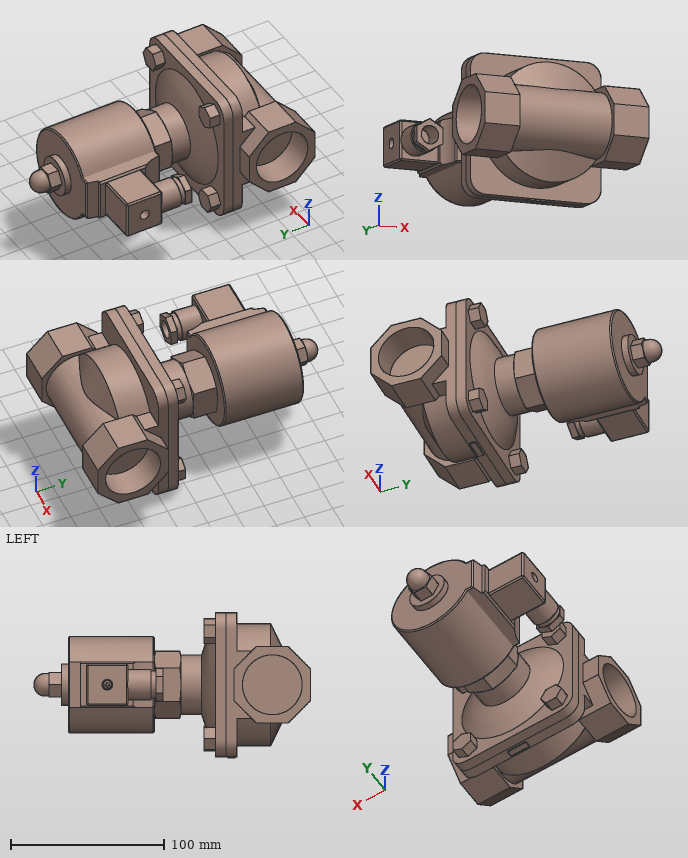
import cadquery as cq
import math


end_flats = 50.0
end_length = 25.3
body_length = 118.0
pipe_diameter = 44.0
bore_diameter = 39.0
bore_depth = 20.0
bowl_diameter = 79.8
bowl_bottom_y = 1.0
bowl_cone_height = 19.5
flange_bottom_y = 23.1
flange_side = 94.0
flange_thickness = 7.0
flange_corner_radius = 10.5
shoulder_height = 9.7
mark_length = 14.5
mark_width = 4.3
mark_height = 0.9
mark_center_x = 2.5

neck_diameter = 39.0
neck_bottom_y = 46.0
neck_top_y = 59.5
dome_radius = 75.2
bolt_offset = 35.0
bolt_flats = 14.0
bolt_height = 7.4

tube_nut_flats = 38.0
coil_bottom_y = 76.9
hex_chamfer_angle = 15

coil_diameter = 63.0
coil_height = 56.1
coil_chamfer = 0.9
box_width = 30.0
box_face_x = -37.4
box_end_x = -32.7
box_step_x = -34.6
box_step_height = 8.0
box_curve_height = 13.9
box_edge_chamfer = 1.3
seam_fillet = 0.7

plug_side = 27
plug_face_x = -64.5
plug_bottom_y = 94.0
plug_chamfer = 1.0
screw_hole_diameter = 6.9
screw_hole_depth = 9
screw_head_diameter = 5.5
screw_head_height = 1.8
screw_slot_length = 3.0
screw_slot_width = 1.0
screw_slot_depth = 0.9
gland_x = -53.8
gland_diameter = 20.0
gland_length = 14.8
collar_diameter = 18
collar_length = 3.5
gland_nut_flats = 18.5
gland_nut_length = 4.7
cable_hole_diameter = 12.3
cable_hole_depth = 14.5

washer_diameter = 27
washer_thickness = 4.5
acorn_flats = 16.0
acorn_hex_height = 8.1
acorn_dome_diameter = 15.0
acorn_neck_height = 2.3

flange_top_y = flange_bottom_y + flange_thickness
bonnet_plate_top_y = flange_top_y + flange_thickness
coil_top_y = coil_bottom_y + coil_height
plug_center_y = plug_bottom_y + plug_side / 2
gland_end_y = plug_bottom_y - gland_length
collar_end_y = gland_end_y - collar_length
gland_nut_end_y = collar_end_y - gland_nut_length
acorn_hex_y = coil_top_y + washer_thickness
acorn_neck_y = acorn_hex_y + acorn_hex_height
acorn_dome_y = acorn_neck_y + acorn_neck_height


def plane_at(y, x=0, z=0):
    """Work plane facing +Y whose local axes are Z and X."""
    return cq.Workplane(cq.Plane(origin=(x, y, z), xDir=(0, 0, 1), normal=(0, 1, 0)))


def disc(diameter, y_low, y_high, x=0):
    """Cylinder along Y."""
    return plane_at(y_low, x).circle(diameter / 2).extrude(y_high - y_low)


def corner_diameter(sides, flats):
    """Diameter across the corners of a regular polygon that is `flats` wide across its flats."""
    return flats / math.cos(math.pi / sides)


def hexagon(flats, y_low, y_high, x=0, z=0):
    """Hexagonal prism along Y with corners toward +Z and -Z."""
    return plane_at(y_low, x, z).polygon(6, corner_diameter(6, flats)).extrude(y_high - y_low)


def corner_cutter(flats, y_low, y_high, chamfer_bottom):
    """Round bar with chamfered ends that trims the corners of a hexagonal prism."""
    corner_radius = corner_diameter(6, flats) / 2
    inset = corner_radius - flats / 2
    drop = inset * math.tan(math.radians(hex_chamfer_angle))
    bar = disc(2 * corner_radius, y_low, y_high)
    bar = bar.faces(">Y").chamfer(drop, inset)
    if chamfer_bottom:
        bar = bar.faces("<Y").chamfer(drop, inset)
    return bar


def square_plate(y_low):
    plate = plane_at(y_low).rect(flange_side, flange_side).extrude(flange_thickness)
    return plate.edges("|Y").fillet(flange_corner_radius)


def make_valve_body():
    end_face = cq.Workplane("YZ", origin=(-body_length / 2, 0, 0))
    octagon = end_face.polygon(8, corner_diameter(8, end_flats)).extrude(end_length)
    end = octagon.rotate((0, 0, 0), (1, 0, 0), 180 / 8)
    pipe = cq.Workplane("YZ").circle(pipe_diameter / 2).extrude(body_length / 2 - end_length / 2, both=True)

    bowl_profile = (
        cq.Workplane("XY")
        .moveTo(0, flange_bottom_y)
        .lineTo(bowl_diameter / 2, flange_bottom_y)
        .lineTo(bowl_diameter / 2, bowl_bottom_y)
        .lineTo(0, bowl_bottom_y - bowl_cone_height)
        .close()
    )
    bowl = bowl_profile.revolve(360, (0, 0, 0), (0, 1, 0))

    shoulder = plane_at(flange_bottom_y).rect(pipe_diameter, flange_side).extrude(-shoulder_height)
    flange = square_plate(flange_bottom_y)

    mark = cq.Workplane("XY").box(mark_length, mark_width, mark_height, centered=(True, True, False))
    mark_y = flange_bottom_y + flange_thickness / 2
    mark = mark.translate((mark_center_x, mark_y, -flange_side / 2 - mark_height))

    body = pipe.union(bowl).union(shoulder).union(flange).union(mark)
    body = body.union(end).union(end.mirror("YZ"))

    bore = cq.Workplane("YZ", origin=(-body_length / 2, 0, 0)).circle(bore_diameter / 2).extrude(bore_depth)
    return body.cut(bore).cut(bore.mirror("YZ"))


def make_bonnet():
    dome_profile = (
        cq.Workplane("XY")
        .moveTo(0, bonnet_plate_top_y)
        .lineTo(bowl_diameter / 2, bonnet_plate_top_y)
        .radiusArc((neck_diameter / 2, neck_bottom_y), -dome_radius)
        .lineTo(neck_diameter / 2, neck_top_y)
        .lineTo(0, neck_top_y)
        .close()
    )
    dome_and_neck = dome_profile.revolve(360, (0, 0, 0), (0, 1, 0))
    return square_plate(flange_top_y).union(dome_and_neck)


def make_bolt_head(quarter_turns):
    """Bolt head in one corner, each a quarter turn about Y from the one before."""
    head = hexagon(
        bolt_flats, bonnet_plate_top_y, bonnet_plate_top_y + bolt_height, -bolt_offset, bolt_offset
    )
    return head.rotate((0, 0, 0), (0, 1, 0), 90 * quarter_turns)


def make_tube_nut():
    nut = hexagon(tube_nut_flats, neck_top_y, coil_bottom_y)
    return nut.intersect(corner_cutter(tube_nut_flats, neck_top_y, coil_bottom_y, True))


def make_coil_housing():
    plate_low_y = coil_bottom_y + box_curve_height
    plate_high_y = coil_top_y - box_step_height
    rise = box_end_x - box_face_x
    curve_radius = (rise**2 + box_curve_height**2) / (2 * rise)
    box = (
        cq.Workplane("XY", origin=(0, 0, -box_width / 2))
        .moveTo(0, coil_bottom_y)
        .lineTo(box_end_x, coil_bottom_y)
        .radiusArc((box_face_x, plate_low_y), -curve_radius)
        .lineTo(box_face_x, plate_high_y)
        .lineTo(box_step_x, plate_high_y)
        .lineTo(box_end_x, coil_top_y)
        .lineTo(0, coil_top_y)
        .close()
        .extrude(box_width)
    )
    box = box.faces("<X").edges("|Y").chamfer(box_edge_chamfer)
    housing = disc(coil_diameter, coil_bottom_y, coil_top_y).union(box)
    seam_x = -math.sqrt((coil_diameter / 2) ** 2 - (box_width / 2) ** 2)
    for side in (-1, 1):
        seam_middle = (seam_x, coil_bottom_y + coil_height / 2, side * box_width / 2)
        seam = cq.selectors.NearestToPointSelector(seam_middle)
        housing = housing.edges("|Y").edges(seam).fillet(seam_fillet)
    return housing.faces("<Y or >Y").edges().chamfer(coil_chamfer)


def make_plug():
    plug = (
        cq.Workplane("YZ", origin=(plug_face_x, plug_center_y, 0))
        .rect(plug_side, plug_side)
        .extrude(box_face_x - plug_face_x)
    )
    return plug.edges("|X or <X").chamfer(plug_chamfer)


def make_screw_hole():
    face = cq.Workplane("YZ", origin=(plug_face_x, plug_center_y, 0))
    return face.circle(screw_hole_diameter / 2).extrude(screw_hole_depth)


def make_screw_head():
    """Domed cross-slotted head that stands on the floor of the screw hole."""
    floor_x = plug_face_x + screw_hole_depth
    radius = screw_head_diameter / 2
    head_profile = (
        cq.Workplane("XY", origin=(floor_x, plug_center_y, 0))
        .lineTo(-screw_head_height, 0)
        .radiusArc((0, radius), (radius**2 + screw_head_height**2) / (2 * screw_head_height))
        .close()
    )
    head = head_profile.revolve(360, (0, 0, 0), (1, 0, 0))
    slots = cq.Workplane("YZ", origin=(floor_x - screw_head_height, plug_center_y, 0))
    slot = slots.rect(screw_slot_length, screw_slot_width).extrude(screw_slot_depth)
    crossing_slot = slots.rect(screw_slot_width, screw_slot_length).extrude(screw_slot_depth)
    return head.cut(slot).cut(crossing_slot)


def make_gland():
    gland = disc(gland_diameter, gland_end_y, plug_bottom_y + plug_chamfer, gland_x)
    gland = gland.union(disc(collar_diameter, collar_end_y, gland_end_y, gland_x))
    return gland.union(hexagon(gland_nut_flats, gland_nut_end_y, collar_end_y, gland_x))


def make_acorn_nut():
    washer = disc(washer_diameter, coil_top_y, acorn_hex_y)
    hexagon_part = hexagon(acorn_flats, acorn_hex_y, acorn_neck_y)
    hexagon_part = hexagon_part.intersect(corner_cutter(acorn_flats, acorn_hex_y, acorn_neck_y, False))
    hexagon_part = hexagon_part.rotate((0, 0, 0), (0, 1, 0), 90)
    neck = disc(acorn_dome_diameter, acorn_neck_y, acorn_dome_y)
    dome = cq.Workplane("XY").sphere(acorn_dome_diameter / 2).translate((0, acorn_dome_y, 0))
    return washer.union(hexagon_part).union(neck).union(dome)


def make_solenoid():
    """Coil housing with its plug, screw, gland and acorn nut as one solid."""
    solenoid = make_coil_housing().union(make_plug()).union(make_gland()).union(make_acorn_nut())
    cable_hole = disc(cable_hole_diameter, gland_nut_end_y, gland_nut_end_y + cable_hole_depth, gland_x)
    return solenoid.cut(cable_hole).cut(make_screw_hole()).union(make_screw_head())


valve_body = make_valve_body()
bonnet = make_bonnet()
bolt_heads = [make_bolt_head(turns) for turns in range(4)]
tube_nut = make_tube_nut()
solenoid = make_solenoid()

result = cq.Compound.makeCompound(
    [
        valve_body.val(),
        bonnet.val(),
        *[head.val() for head in bolt_heads],
        tube_nut.val(),
        solenoid.val(),
    ]
)